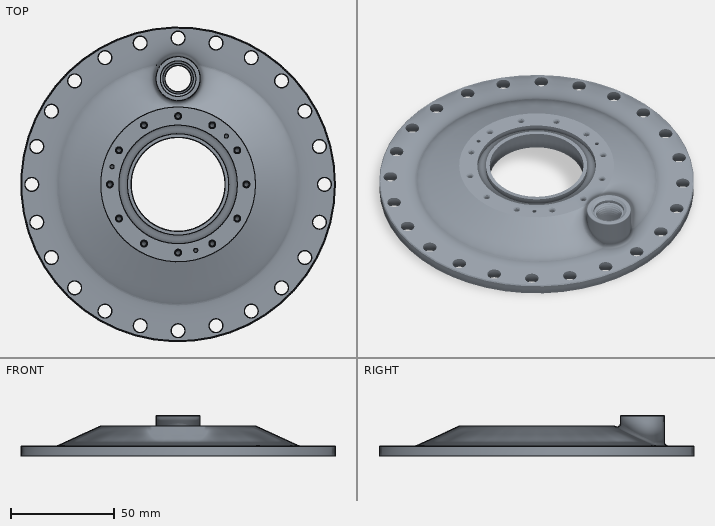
import cadquery as cq
import math

flange_diameter = 152.4
flange_thickness = 5.0
flange_chamfer = 0.5
bolt_count = 24
bolt_hole_diameter = 6.5
bolt_circle_radius = 70.9

cone_foot_radius = 58.4
hub_radius = 37.5
hub_height = 14.6
cone_foot_fillet = 1.5

cavity_height = 5.8

bore_diameter = 45.4
groove_inner_diameter = 49.0
groove_outer_diameter = 57.5
groove_depth = 2.9

hub_hole_circle_radius = 33.0
screw_count = 12
screw_first_angle = 0.0
screw_bore_diameter = 2.5
screw_thread_diameter = 2.9
screw_thread_pitch = 0.5
screw_thread_turns = 12
screw_mouth_diameter = 3.4
pin_count = 3
pin_first_angle = 45.0
pin_hole_diameter = 2.0
pin_hole_depth = 3.0
drill_point_angle = 118.0

port_y = 51.2
port_height = 19.7
port_diameter = 21.3
port_rim_fillet = 0.5
port_foot_fillet = 1.7
port_bore_diameter = 12.6
port_thread_diameter = 14.8
port_thread_pitch = 1.4
port_thread_turns = 8
port_relief_length = 1.5
port_mouth_diameter = 17.2
port_mouth_depth = 0.8


def turn_profile(outline):
    """Solid turned about the Z axis from an outline of (radius, height) points."""
    return cq.Workplane("XZ").polyline(outline).close().revolve(360, (0, 0), (0, 1))


def make_shell():
    """Flange and cone as one turned solid, with the cone foot blended into the flange."""
    flange_radius = flange_diameter / 2
    outline = [
        (0, 0),
        (flange_radius, 0),
        (flange_radius, flange_thickness - flange_chamfer),
        (flange_radius - flange_chamfer, flange_thickness),
        (cone_foot_radius, flange_thickness),
        (hub_radius, hub_height),
        (0, hub_height),
    ]
    turned = turn_profile(outline)
    foot_edge = cq.selectors.RadiusNthSelector(1)
    return turned.edges("%CIRCLE").edges(foot_edge).fillet(cone_foot_fillet)


def add_port(body):
    """Add the port boss and blend its foot into the cone and flange."""
    boss = cq.Workplane("XY").center(0, port_y).circle(port_diameter / 2).extrude(port_height)
    boss = boss.faces(">Z").edges().fillet(port_rim_fillet)
    joined = body.union(boss)
    margin = 0.2
    reach = port_diameter / 2 + margin
    foot_box = cq.selectors.BoxSelector(
        (-reach, port_y - reach, flange_thickness - margin),
        (reach, port_y + reach, hub_height),
        boundingbox=True,
    )
    return joined.edges(foot_box).fillet(port_foot_fillet)


def make_cavity():
    """Tapered hollow under the cone."""
    outline = [(0, 0), (cone_foot_radius, 0), (hub_radius, cavity_height), (0, cavity_height)]
    return turn_profile(outline)


def make_groove():
    """Ring-shaped seal groove sunk into the hub face."""
    return (
        cq.Workplane("XY", origin=(0, 0, hub_height - groove_depth))
        .circle(groove_outer_diameter / 2)
        .circle(groove_inner_diameter / 2)
        .extrude(groove_depth)
    )


def thread_points(bore_diameter, thread_diameter, pitch, turns, top):
    """Outline of a thread below the given height: one V-groove per turn, listed downwards."""
    points = [(bore_diameter / 2, top)]
    for turn in range(turns):
        groove_top = top - turn * pitch
        points.append((thread_diameter / 2, groove_top - pitch / 2))
        points.append((bore_diameter / 2, groove_top - pitch))
    return points


def make_port_bore():
    """Port bore with a countersunk mouth, a plain relief and a thread below it."""
    relief_radius = port_thread_diameter / 2
    relief_top = port_height - port_mouth_depth
    relief_bottom = relief_top - port_relief_length
    outline = [
        (0, port_height),
        (port_mouth_diameter / 2, port_height),
        (relief_radius, relief_top),
        (relief_radius, relief_bottom),
    ]
    outline += thread_points(
        port_bore_diameter, port_thread_diameter, port_thread_pitch, port_thread_turns, relief_bottom
    )
    outline += [(port_bore_diameter / 2, 0), (0, 0)]
    return turn_profile(outline).translate((0, port_y, 0))


def drill_point_height(diameter):
    """Height of the conical point that a drill leaves at the end of a blind hole."""
    return diameter / 2 / math.tan(math.radians(drill_point_angle / 2))


def make_screw_hole():
    """Blind threaded hole with a 45-degree countersunk mouth and a drill point."""
    mouth_depth = (screw_mouth_diameter - screw_bore_diameter) / 2
    thread_top = hub_height - mouth_depth
    thread_bottom = thread_top - screw_thread_turns * screw_thread_pitch
    outline = [(0, hub_height), (screw_mouth_diameter / 2, hub_height)]
    outline += thread_points(
        screw_bore_diameter, screw_thread_diameter, screw_thread_pitch, screw_thread_turns, thread_top
    )
    outline.append((0, thread_bottom - drill_point_height(screw_bore_diameter)))
    return turn_profile(outline)


def make_pin_hole():
    """Blind plain hole with a drill point."""
    radius = pin_hole_diameter / 2
    floor = hub_height - pin_hole_depth
    tip = floor - drill_point_height(pin_hole_diameter)
    return turn_profile([(0, hub_height), (radius, hub_height), (radius, floor), (0, tip)])


def cut_hub_holes(body, hole, count, first_angle):
    """Cut evenly spaced copies of a hole on the hub circle."""
    places = cq.Workplane("XY").polarArray(hub_hole_circle_radius, first_angle, 360, count)
    return body.cut(places.eachpoint(lambda place: hole.val().moved(place)))


body = add_port(make_shell())
body = body.cut(make_cavity())
body = body.cut(cq.Workplane("XY").circle(bore_diameter / 2).extrude(hub_height))
body = body.cut(make_groove())
body = body.cut(make_port_bore())
body = cut_hub_holes(body, make_screw_hole(), screw_count, screw_first_angle)
body = cut_hub_holes(body, make_pin_hole(), pin_count, pin_first_angle)

bolt_holes = (
    cq.Workplane("XY")
    .polarArray(bolt_circle_radius, 0, 360, bolt_count)
    .circle(bolt_hole_diameter / 2)
    .extrude(flange_thickness)
)
result = body.cut(bolt_holes)